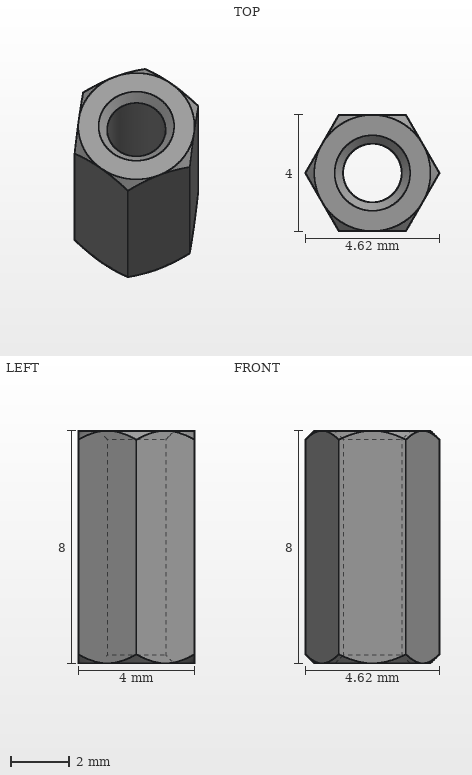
import cadquery as cq
import math

ACROSS_FLATS = 4.0
LENGTH = 8.0
BORE_DIAMETER = 2.01
COUNTERSINK_DIAMETER = 2.6
CORNER_CHAMFER_ANGLE = 45.0
COUNTERSINK_ANGLE = 45.0

HEX_SIDES = 6
FLAT_RADIUS = ACROSS_FLATS / 2
CORNER_RADIUS = FLAT_RADIUS / math.cos(math.pi / HEX_SIDES)
CHAMFER_HEIGHT = (CORNER_RADIUS - FLAT_RADIUS) * math.tan(math.radians(CORNER_CHAMFER_ANGLE))
BORE_RADIUS = BORE_DIAMETER / 2
COUNTERSINK_RADIUS = COUNTERSINK_DIAMETER / 2
COUNTERSINK_DEPTH = (COUNTERSINK_RADIUS - BORE_RADIUS) * math.tan(math.radians(COUNTERSINK_ANGLE))


def hexagonal_bar():
    """Upright hexagonal prism with two corners on the X axis."""
    return cq.Workplane("XY").polygon(HEX_SIDES, 2 * CORNER_RADIUS).extrude(LENGTH)


def revolve_about_z(profile_points):
    """Solid of revolution from (radius, height) points."""
    profile = cq.Workplane("XZ").polyline(profile_points).close()
    return profile.revolve(360, (0, 0, 0), (0, 1, 0))


def corner_chamfer_envelope():
    """Double-coned cylinder whose end circles touch the flats."""
    return revolve_about_z([
        (0, 0),
        (FLAT_RADIUS, 0),
        (CORNER_RADIUS, CHAMFER_HEIGHT),
        (CORNER_RADIUS, LENGTH - CHAMFER_HEIGHT),
        (FLAT_RADIUS, LENGTH),
        (0, LENGTH),
    ])


def countersunk_bore():
    """Through bore, countersunk at both ends."""
    return revolve_about_z([
        (0, 0),
        (COUNTERSINK_RADIUS, 0),
        (BORE_RADIUS, COUNTERSINK_DEPTH),
        (BORE_RADIUS, LENGTH - COUNTERSINK_DEPTH),
        (COUNTERSINK_RADIUS, LENGTH),
        (0, LENGTH),
    ])


result = hexagonal_bar().intersect(corner_chamfer_envelope()).cut(countersunk_bore())